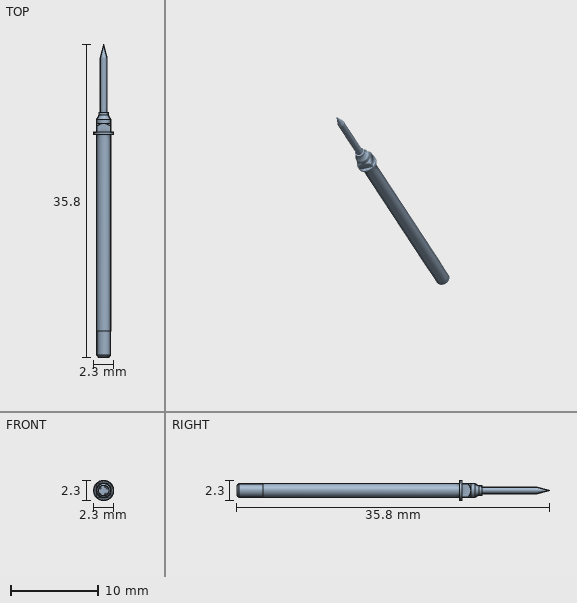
import cadquery as cq

total_length = 35.8

cone_length = 1.5
shaft_diameter = 0.8
tip_to_collar = 7.75

collar_diameter = 1.1
collar_length = 0.3
throat_length = 0.25
shoulder_diameter = 1.3
shoulder_length = 0.25
neck_length = 0.45

square_width = 1.65
square_corner_diameter = 2.25
square_chamfer_length = 0.3

flange_diameter = 2.3
flange_thickness = 0.3
tip_to_flange_rear = 10.3

barrel_diameter = 1.65
tail_diameter = 1.6
tail_length = 3.0
tail_chamfer_length = 0.25
tail_chamfer_depth = 0.2

tip_y = tip_to_flange_rear
shaft_start_y = tip_y - cone_length
collar_y = tip_y - tip_to_collar
throat_y = collar_y - collar_length
shoulder_y = throat_y - throat_length
neck_y = shoulder_y - shoulder_length
square_top_y = neck_y - neck_length
rear_y = tip_y - total_length
tail_y = rear_y + tail_length


def make_turned_body():
    """Revolve everything except the square drive about the Y axis."""
    shaft_radius = shaft_diameter / 2
    collar_radius = collar_diameter / 2
    barrel_radius = barrel_diameter / 2
    flange_radius = flange_diameter / 2
    tail_radius = tail_diameter / 2
    profile = (
        cq.Workplane("XY")
        .moveTo(0, tip_y)
        .lineTo(shaft_radius, shaft_start_y)
        .lineTo(shaft_radius, collar_y)
        .lineTo(collar_radius, collar_y)
        .lineTo(collar_radius, throat_y)
        .lineTo(shoulder_diameter / 2, shoulder_y)
        .lineTo(barrel_radius, neck_y)
        .lineTo(barrel_radius, flange_thickness)
        .lineTo(flange_radius, flange_thickness)
        .lineTo(flange_radius, 0)
        .lineTo(barrel_radius, 0)
        .lineTo(barrel_radius, tail_y)
        .lineTo(tail_radius, tail_y)
        .lineTo(tail_radius, rear_y + tail_chamfer_length)
        .lineTo(tail_radius - tail_chamfer_depth, rear_y)
        .lineTo(0, rear_y)
        .close()
    )
    return profile.revolve(360, (0, 0, 0), (0, 1, 0))


def make_square_drive():
    """Square prism whose corners are trimmed by a cylinder with a conical front end."""
    square_length = square_top_y - flange_thickness
    prism = (
        cq.Workplane("XZ", origin=(0, square_top_y, 0))
        .rect(square_width, square_width)
        .extrude(square_length)
    )
    corner_radius = square_corner_diameter / 2
    envelope = (
        cq.Workplane("XY")
        .moveTo(0, square_top_y)
        .lineTo(square_width / 2, square_top_y)
        .lineTo(corner_radius, square_top_y - square_chamfer_length)
        .lineTo(corner_radius, flange_thickness)
        .lineTo(0, flange_thickness)
        .close()
        .revolve(360, (0, 0, 0), (0, 1, 0))
    )
    return prism.intersect(envelope)


result = make_turned_body().union(make_square_drive())